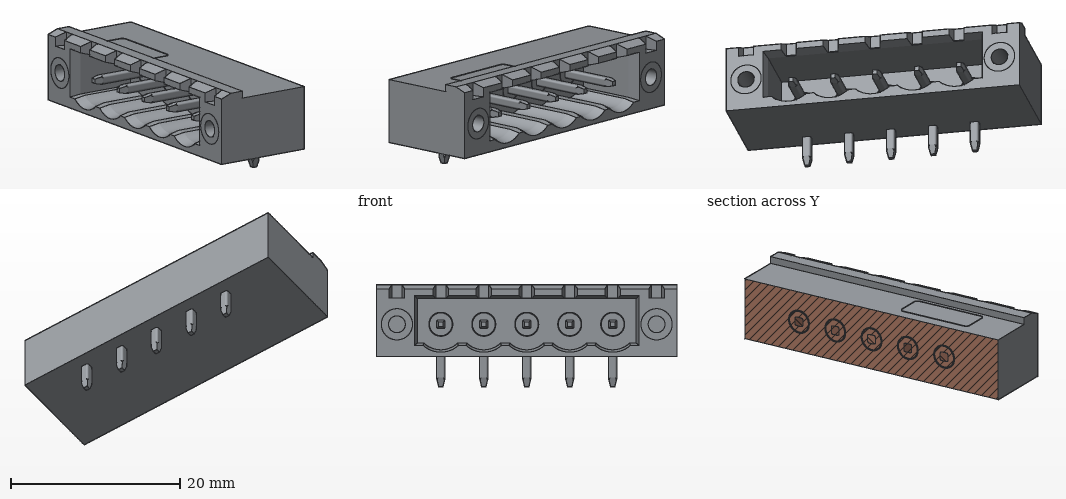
import cadquery as cq


POLE_COUNT = 5
POLE_PITCH = 5.08
POLE_XS = [(i - (POLE_COUNT - 1) / 2) * POLE_PITCH for i in range(POLE_COUNT)]
AXIS_Z = 3.85

LENGTH = 35.5
DEPTH = 12.0
HEIGHT = 8.52
OVERALL_HEIGHT = 12.07
ROOF_Z = 7.67
LIP_DEPTH = 3.02
RAMP_DEPTH = 1.35
RAMP_DROP = 0.5

CAVITY_HALF_WIDTH = 12.93
CAVITY_FLOOR_Z = 1.6
CAVITY_CEILING_Z = 6.85
CAVITY_DEPTH = 8.52
SCALLOP_HALF_WIDTH = 2.0
SCALLOP_BOTTOM_Z = 0.8

LEAD_IN_DEPTH = 1.35
LEAD_IN_SIDE = 0.35
LEAD_IN_TOP = 0.4
LEAD_IN_FLOOR = 0.25
LEAD_IN_SCALLOP_SIDE = 0.1
LEAD_IN_SCALLOP_BOTTOM = 0.3

NOTCH_FRONT_WIDTH = 1.85
NOTCH_BACK_WIDTH = 1.17
NOTCH_DEPTH = RAMP_DEPTH
NOTCH_FLOOR_Z = 6.92

GROOVE_OUTER_RADIUS = 1.42
GROOVE_WIDTH = 0.07
GROOVE_DEPTH = 0.35

LABEL_LENGTH = 9.48
LABEL_WIDTH = 3.65
LABEL_CENTER = (-7.7, 5.33)
LABEL_CORNER_RADIUS = 0.5
LABEL_RECESS = 0.07

INSERT_X = 15.35
INSERT_XS = (-INSERT_X, INSERT_X)
INSERT_RADIUS = 1.85
INSERT_BORE_RADIUS = 1.0
INSERT_LENGTH = 7.1

PIN_WIDTH = 1.03
PIN_EDGE_RADIUS = 0.25
PIN_TIP_LENGTH = 1.05
PIN_TIP_WIDTH = 0.55
PIN_FRONT_Y = 1.2
PIN_LEG_Y = 10.0
PIN_LEG_BOTTOM_Z = HEIGHT - OVERALL_HEIGHT


def cavity_outline(y, half_width, floor_z, ceiling_z, scallop_half_width, scallop_bottom_z):
    """Closed outline at depth y: a rectangle whose floor dips in one round scallop per pole."""
    outline = cq.Workplane("XZ", origin=(0, y, 0)).moveTo(-half_width, floor_z)
    for x in POLE_XS:
        outline = outline.lineTo(x - scallop_half_width, floor_z)
        outline = outline.threePointArc((x, scallop_bottom_z), (x + scallop_half_width, floor_z))
    outline = outline.lineTo(half_width, floor_z).lineTo(half_width, ceiling_z)
    return outline.lineTo(-half_width, ceiling_z).close()


def make_cavity():
    """Plug chamber with a tapered lead-in at the mating face."""
    inner_sizes = (
        CAVITY_HALF_WIDTH,
        CAVITY_FLOOR_Z,
        CAVITY_CEILING_Z,
        SCALLOP_HALF_WIDTH,
        SCALLOP_BOTTOM_Z,
    )
    front_sizes = (
        CAVITY_HALF_WIDTH + LEAD_IN_SIDE,
        CAVITY_FLOOR_Z - LEAD_IN_FLOOR,
        CAVITY_CEILING_Z + LEAD_IN_TOP,
        SCALLOP_HALF_WIDTH + LEAD_IN_SCALLOP_SIDE,
        SCALLOP_BOTTOM_Z - LEAD_IN_SCALLOP_BOTTOM,
    )
    chamber = cavity_outline(LEAD_IN_DEPTH, *inner_sizes).extrude(-(CAVITY_DEPTH - LEAD_IN_DEPTH))
    front_wire = cavity_outline(0, *front_sizes).wire().val()
    inner_wire = cavity_outline(LEAD_IN_DEPTH, *inner_sizes).wire().val()
    lead_in = cq.Solid.makeLoft([front_wire, inner_wire], True)
    return chamber.union(cq.Workplane(lead_in))


def make_ring_groove(x):
    return (
        cq.Workplane("XZ", origin=(x, CAVITY_DEPTH, AXIS_Z))
        .circle(GROOVE_OUTER_RADIUS)
        .circle(GROOVE_OUTER_RADIUS - GROOVE_WIDTH)
        .extrude(-GROOVE_DEPTH)
    )


def make_notch(x):
    """Coding notch, open to the front and the top, narrowing towards its back wall."""
    return (
        cq.Workplane("XY", origin=(x, 0, NOTCH_FLOOR_Z))
        .moveTo(-NOTCH_FRONT_WIDTH / 2, 0)
        .lineTo(NOTCH_FRONT_WIDTH / 2, 0)
        .lineTo(NOTCH_BACK_WIDTH / 2, NOTCH_DEPTH)
        .lineTo(-NOTCH_BACK_WIDTH / 2, NOTCH_DEPTH)
        .close()
        .extrude(HEIGHT - NOTCH_FLOOR_Z)
    )


def make_wire(length):
    """Square wire with rounded edges along +Z from the origin, ending in a blunt pyramid tip."""
    shank_length = length - PIN_TIP_LENGTH
    rounded = cq.Workplane("XY").rect(PIN_WIDTH, PIN_WIDTH).extrude(length)
    rounded = rounded.edges("|Z").fillet(PIN_EDGE_RADIUS)
    shank = cq.Workplane("XY").rect(PIN_WIDTH, PIN_WIDTH).extrude(shank_length)
    tip = (
        cq.Workplane("XY", origin=(0, 0, shank_length))
        .rect(PIN_WIDTH, PIN_WIDTH)
        .workplane(offset=PIN_TIP_LENGTH)
        .rect(PIN_TIP_WIDTH, PIN_TIP_WIDTH)
        .loft(ruled=True)
    )
    return rounded.intersect(shank.union(tip))


def make_pin(x):
    """Right-angled pin: a contact towards the mating face and a solder leg downwards."""
    elbow_y = PIN_LEG_Y + PIN_WIDTH / 2
    elbow_z = AXIS_Z + PIN_WIDTH / 2
    contact = make_wire(elbow_y - PIN_FRONT_Y)
    contact = contact.rotate((0, 0, 0), (1, 0, 0), 90).translate((x, elbow_y, AXIS_Z))
    leg = make_wire(elbow_z - PIN_LEG_BOTTOM_Z)
    leg = leg.rotate((0, 0, 0), (1, 0, 0), 180).translate((x, PIN_LEG_Y, elbow_z))
    return contact.union(leg)


def flange_cylinder(x, radius):
    """Cylinder on an insert axis, from the mating face to the depth of the inserts."""
    return cq.Workplane("XZ", origin=(x, 0, AXIS_Z)).circle(radius).extrude(-INSERT_LENGTH)


def make_insert(x):
    """Round sleeve flush with the mating face."""
    return flange_cylinder(x, INSERT_RADIUS).cut(flange_cylinder(x, INSERT_BORE_RADIUS))


def make_label_recess():
    return (
        cq.Workplane("XY", origin=(*LABEL_CENTER, ROOF_Z))
        .rect(LABEL_LENGTH, LABEL_WIDTH)
        .extrude(-LABEL_RECESS)
        .edges("|Z")
        .fillet(LABEL_CORNER_RADIUS)
    )


def make_housing(pins):
    """Block with a raised front lip, hollowed for the plug, the pins and the inserts."""
    housing = (
        cq.Workplane("YZ", origin=(-LENGTH / 2, 0, 0))
        .moveTo(0, 0)
        .lineTo(DEPTH, 0)
        .lineTo(DEPTH, ROOF_Z)
        .lineTo(LIP_DEPTH, ROOF_Z)
        .lineTo(LIP_DEPTH, HEIGHT)
        .lineTo(RAMP_DEPTH, HEIGHT)
        .lineTo(0, HEIGHT - RAMP_DROP)
        .close()
        .extrude(LENGTH)
    )
    housing = housing.cut(make_cavity())
    for x in POLE_XS:
        housing = housing.cut(make_ring_groove(x))
    for x in [*POLE_XS, *INSERT_XS]:
        housing = housing.cut(make_notch(x))
    for x in INSERT_XS:
        housing = housing.cut(flange_cylinder(x, INSERT_RADIUS))
    for pin in pins:
        housing = housing.cut(pin)
    return housing.cut(make_label_recess())


pins = [make_pin(x) for x in POLE_XS]
inserts = [make_insert(x) for x in INSERT_XS]
housing = make_housing(pins)

result = cq.Compound.makeCompound([body.val() for body in [housing, *pins, *inserts]])